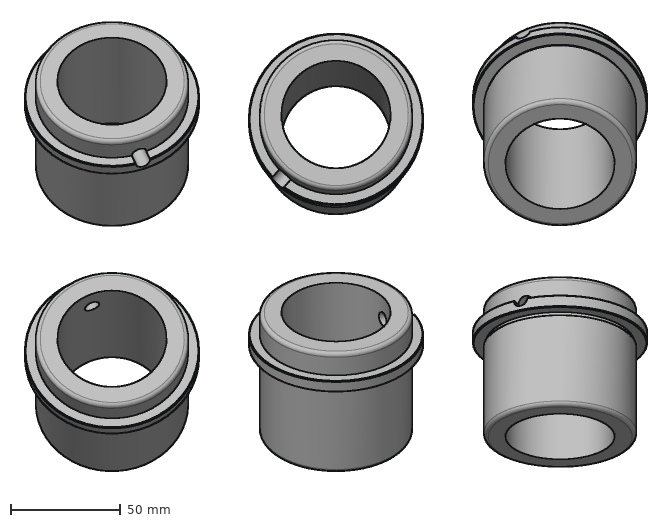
import cadquery as cq
import math

flange_diameter = 80.0
body_diameter = 70.0
bore_diameter = 50.0
groove_diameter = 68.3
total_height = 65.0
collar_height = 12.0
flange_thickness = 6.0
groove_width = 1.5
end_round_radius = 2.0
flange_chamfer = 0.5
body_bevel_height = 0.5
oil_hole_diameter = 7.0

flange_top = total_height - collar_height
flange_bottom = flange_top - flange_thickness
body_top = flange_bottom - groove_width
oil_hole_level = flange_top
flange_radius = flange_diameter / 2
body_radius = body_diameter / 2
bore_radius = bore_diameter / 2
groove_radius = groove_diameter / 2


def turned_sleeve():
    """Revolve the half section of the flanged sleeve about Z."""
    end_face_radius = body_radius - end_round_radius
    arc_inset = end_round_radius * (1 - math.sqrt(0.5))
    arc_mid_radius = body_radius - arc_inset
    profile = (
        cq.Workplane("XZ")
        .moveTo(bore_radius, 0)
        .lineTo(end_face_radius, 0)
        .threePointArc((arc_mid_radius, arc_inset), (body_radius, end_round_radius))
        .lineTo(body_radius, body_top - body_bevel_height)
        .lineTo(groove_radius, body_top)
        .lineTo(groove_radius, flange_bottom)
        .lineTo(flange_radius - flange_chamfer, flange_bottom)
        .lineTo(flange_radius, flange_bottom + flange_chamfer)
        .lineTo(flange_radius, flange_top - flange_chamfer)
        .lineTo(flange_radius - flange_chamfer, flange_top)
        .lineTo(body_radius, flange_top)
        .lineTo(body_radius, total_height - end_round_radius)
        .threePointArc((arc_mid_radius, total_height - arc_inset), (end_face_radius, total_height))
        .lineTo(bore_radius, total_height)
        .close()
    )
    return profile.revolve(360, (0, 0), (0, 1))


def oil_hole():
    """Radial drill running from the axis out through the +X wall only."""
    return (
        cq.Workplane("YZ")
        .center(0, oil_hole_level)
        .circle(oil_hole_diameter / 2)
        .extrude(flange_radius)
    )


result = turned_sleeve().cut(oil_hole())